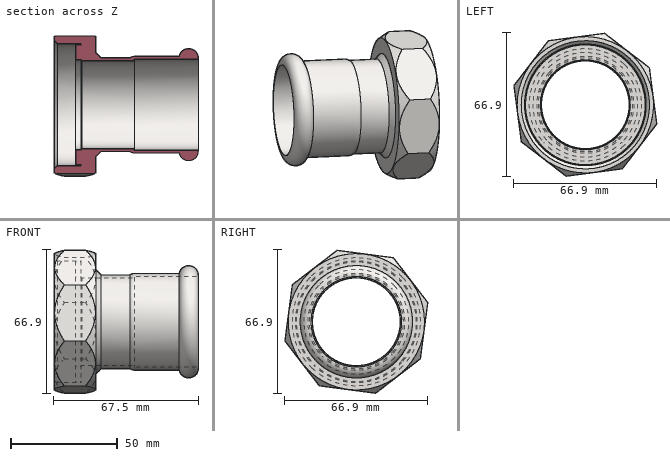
import cadquery as cq
import math

TOTAL_LENGTH = 67.5

NUT_SIDES = 8
NUT_ACROSS_FLATS = 64.0
NUT_ACROSS_CORNERS = NUT_ACROSS_FLATS / math.cos(math.pi / NUT_SIDES)
NUT_LENGTH = 19.5
NUT_TURN = 15.0
NUT_FACE_DIAMETER = 63.75
NUT_CHAMFER_ANGLE = 30.0

MOUTH_DIAMETER = 57.0
MOUTH_CHAMFER = 1.5

GASKET_DIAMETER = 56.0
GASKET_BORE = 42.0
GASKET_FACE_X = 10.0
GASKET_THICKNESS = 2.5
GASKET_BACK_X = GASKET_FACE_X + GASKET_THICKNESS

TUBE_BORE = 41.0
BORE_CHAMFER = (GASKET_BORE - TUBE_BORE) / 2
WALL = 1.5
NECK_DIAMETER = TUBE_BORE + 2 * WALL
COLLAR_DIAMETER = 49.0
COLLAR_END_X = 22.0

SOCKET_DIAMETER = 45.4
SOCKET_BORE = SOCKET_DIAMETER - 2 * WALL
SOCKET_START_X = 35.4
SHOULDER_END_X = 37.5
BEAD_DIAMETER = 52.6
BEAD_RADIUS = 4.6
BEAD_CENTER_X = TOTAL_LENGTH - BEAD_RADIUS
BEAD_CENTER_RADIUS = BEAD_DIAMETER / 2 - BEAD_RADIUS


def revolve_about_x(profile):
    """Turn a closed (x, radius) profile once around the X axis."""
    return profile.close().revolve(360, (0, 0, 0), (1, 0, 0))


def make_nut():
    """Octagonal prism whose corners are cut by a cone at both ends."""
    prism = (
        cq.Workplane("YZ")
        .polygon(NUT_SIDES, NUT_ACROSS_CORNERS)
        .extrude(NUT_LENGTH)
        .rotate((0, 0, 0), (1, 0, 0), NUT_TURN)
    )
    face_radius = NUT_FACE_DIAMETER / 2
    middle_radius = face_radius + NUT_LENGTH / 2 * math.tan(math.radians(NUT_CHAMFER_ANGLE))
    double_cone = revolve_about_x(
        cq.Workplane("XY")
        .lineTo(0, face_radius)
        .lineTo(NUT_LENGTH / 2, middle_radius)
        .lineTo(NUT_LENGTH, face_radius)
        .lineTo(NUT_LENGTH, 0)
    )
    return prism.intersect(double_cone)


def make_tube():
    """Solid outside of the collar cone, neck, rounded shoulder, socket and bead."""
    neck_radius = NECK_DIAMETER / 2
    socket_radius = SOCKET_DIAMETER / 2

    run = SHOULDER_END_X - SOCKET_START_X
    rise = socket_radius - neck_radius
    shoulder_radius = (run**2 + rise**2) / (2 * rise)
    half_sweep = math.asin(run / shoulder_radius) / 2
    shoulder_middle = (
        SHOULDER_END_X - shoulder_radius * math.sin(half_sweep),
        socket_radius - shoulder_radius * (1 - math.cos(half_sweep)),
    )

    bead_offset = math.sqrt(BEAD_RADIUS**2 - (socket_radius - BEAD_CENTER_RADIUS) ** 2)

    return revolve_about_x(
        cq.Workplane("XY")
        .moveTo(GASKET_BACK_X, 0)
        .lineTo(GASKET_BACK_X, COLLAR_DIAMETER / 2)
        .lineTo(NUT_LENGTH, COLLAR_DIAMETER / 2)
        .lineTo(COLLAR_END_X, neck_radius)
        .lineTo(SOCKET_START_X, neck_radius)
        .threePointArc(shoulder_middle, (SHOULDER_END_X, socket_radius))
        .lineTo(BEAD_CENTER_X - bead_offset, socket_radius)
        .threePointArc((BEAD_CENTER_X, BEAD_DIAMETER / 2), (TOTAL_LENGTH, BEAD_CENTER_RADIUS))
        .lineTo(TOTAL_LENGTH, 0)
    )


def make_mouth():
    """Chamfered nut mouth down to the gasket face, with the gap around the gasket."""
    mouth_radius = MOUTH_DIAMETER / 2
    gasket_radius = GASKET_DIAMETER / 2
    return revolve_about_x(
        cq.Workplane("XY")
        .lineTo(0, mouth_radius + MOUTH_CHAMFER)
        .lineTo(MOUTH_CHAMFER, mouth_radius)
        .lineTo(GASKET_BACK_X, mouth_radius)
        .lineTo(GASKET_BACK_X, gasket_radius)
        .lineTo(GASKET_FACE_X, gasket_radius)
        .lineTo(GASKET_FACE_X, 0)
    )


def make_bore():
    """Through bore: gasket hole, chamfered tube entry and the wider press socket."""
    return revolve_about_x(
        cq.Workplane("XY")
        .lineTo(0, GASKET_BORE / 2)
        .lineTo(GASKET_BACK_X, GASKET_BORE / 2)
        .lineTo(GASKET_BACK_X + BORE_CHAMFER, TUBE_BORE / 2)
        .lineTo(SHOULDER_END_X, TUBE_BORE / 2)
        .lineTo(SHOULDER_END_X, SOCKET_BORE / 2)
        .lineTo(TOTAL_LENGTH, SOCKET_BORE / 2)
        .lineTo(TOTAL_LENGTH, 0)
    )


result = make_nut().union(make_tube()).cut(make_mouth()).cut(make_bore())